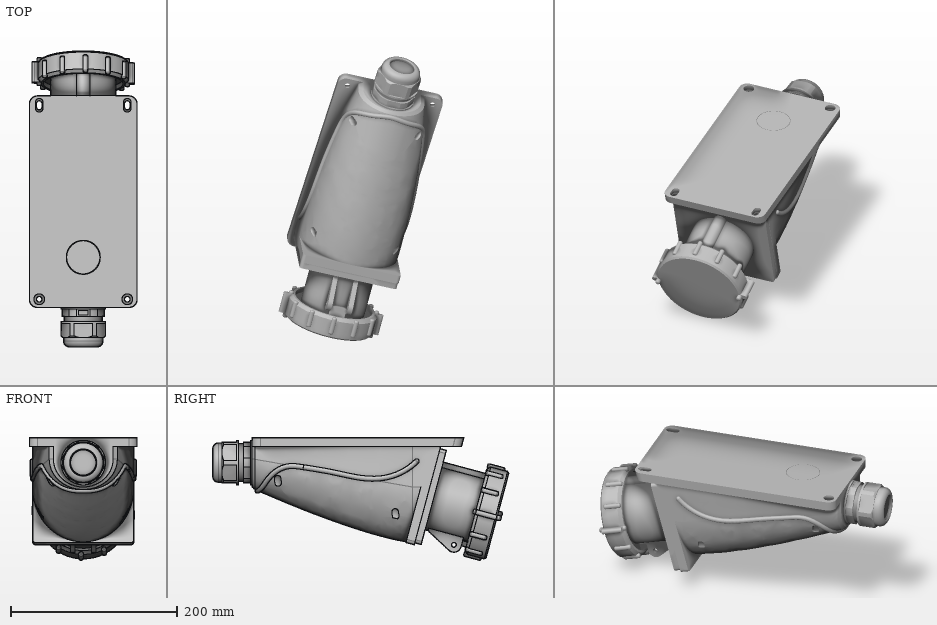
import cadquery as cq
import math


PLATE_WIDTH = 130.0
PLATE_LENGTH = 255.0
PLATE_THICKNESS = 11.0
PLATE_CORNER_RADIUS = 10.0
MOUNT_HOLE_X = 53.0
MOUNT_HOLE_Y = 10.0
MOUNT_SLOT_Y = 243.5
MOUNT_HOLE_DIAMETER = 6.5
ROUND_COUNTERBORE_DIAMETER = 13.0
SLOT_COUNTERBORE_WIDTH = 9.0
SLOT_COUNTERBORE_LENGTH = 16.5
SLOT_LENGTH = 10.5
COUNTERBORE_DEPTH = 6.0
KNOCKOUT_Y = 60.5
KNOCKOUT_OUTER_DIAMETER = 41.0
KNOCKOUT_INNER_DIAMETER = 40.0
KNOCKOUT_DEPTH = 1.0

SHELL_HALF_WIDTH = 61.0
SHELL_FRONT_HALF_WIDTH = 41.0
SHELL_FRONT_BOTTOM_Z = -62.5
SHELL_BACK_BOTTOM_Z = -126.7
SHELL_FRONT_Y = 3.2
SHELL_STRAIGHT_Y = 193.0
SHELL_SECTIONS = 6
SHELL_PLAN_POWER = 2.3
SHELL_BELLY_POWER = 1.3
SEAM_FRONT_Z = -25.5
SEAM_ANGLE = 10.0
FRONT_FACE_HALF_WIDTH = 36.0
FRONT_FACE_BOTTOM_Z = -59.5

BEAD_DIAMETER = 6.0
BEAD_SIDE_POINTS = [(198.0, -28.5), (183.0, -40.0), (167.0, -46.7), (147.0, -49.6), (100.0, -42.3),
                    (62.0, -35.7), (42.0, -34.8), (29.0, -40.5), (19.0, -50.0), (11.0, -61.0)]
BEAD_FRONT_Y = 6.5

POCKET_WIDTH = 8.0
POCKET_HEIGHT = 13.0
POCKET_TILT = 8.0
POCKETS = [(172.5, -92.0, 48.0), (31.0, -52.0, 35.0)]

INLET_TILT = 15.0
INLET_CENTER_Y = 210.7
INLET_CENTER_Z = -71.2
FLANGE_CORNER = 4.0
HOUSING_FLANGE_THICKNESS = 10.4
HOUSING_FLANGE_BOTTOM = 60.0
HOUSING_FLANGE_TOP = 20.0
INLET_FLANGE_THICKNESS = 8.0
INLET_FLANGE_WIDTH = 121.0
INLET_FLANGE_BOTTOM = 57.6
INLET_FLANGE_TOP = 60.0
NECK_DIAMETER = 78.6
NECK_KEY_DIAMETER = 16.2
NECK_KEY_RISE = 6.1

RING_START = 60.9
RING_LENGTH = 26.78
RING_RADIUS = 54.6
RING_FRONT_CHAMFER = 2.0
RING_BACK_CHAMFER = 3.8
RING_BORE_RADIUS = 48.0
RING_BORE_DEPTH = 6.0
RIB_COUNT = 12
RIB_DIAMETER = 6.0
RIB_CENTER_RADIUS = 54.8
RIB_ROTATION = 2.7
RIB_START = 60.5
RIB_LENGTH = 21.6
RIB_END_FILLET = 2.0
GRIP_CENTER_RADIUS = 59.0
GRIP_START = 61.5
GRIP_LENGTH = 25.5
GRIP_ROD_RADIUS = 53.0
GRIP_ROD_START = 58.0
GRIP_ROD_LENGTH = 34.8

LUG_OUTER_X = 15.5
LUG_INNER_X = 9.8
LUG_PIN_DISTANCE = 46.1
LUG_PIN_DROP = 47.6
LUG_RADIUS = 9.0
LUG_HOLE_DIAMETER = 5.46
LUG_ROOT_NEAR = 11.5
LUG_TANGENT_ANGLE = 60.0
LINK_START = 50.0
LINK_TOP_DROP = 39.9
LINK_HEIGHT = 6.6

GLAND_Z = -30.1
GLAND_COLLAR_DIAMETER = 53.7
GLAND_COLLAR_END = 2.0
BODY_HEX_DIAMETER = 51.6
BODY_HEX_END = 10.6
HEX_FLATS = 49.0
GLAND_NECK_DIAMETER = 46.0
GLAND_NECK_END = 16.5
NUT_FLANGE_END = 18.9
NUT_END = 36.2
NUT_CHAMFER = 2.0
DOME_DIAMETER = 47.6
DOME_STRAIGHT_END = 40.3
GLAND_LENGTH = 47.5
DOME_END_DIAMETER = 33.0
GLAND_BORE_DIAMETER = 30.5
GLAND_BORE_DEPTH = 4.0
GLAND_BORE_CHAMFER = 1.0
LABEL_WIDTH = 11.8
LABEL_LENGTH = 5.5
LABEL_DEPTH = 0.5
LABEL_START = 3.6

SIN_TILT = math.sin(math.radians(INLET_TILT))
COS_TILT = math.cos(math.radians(INLET_TILT))


def inlet_plane(distance):
    """Plane across the inlet axis, facing outward, with local y pointing up the tilted flange."""
    origin = (0, INLET_CENTER_Y + distance * COS_TILT, INLET_CENTER_Z - distance * SIN_TILT)
    return cq.Workplane(cq.Plane(origin, (-1, 0, 0), (0, COS_TILT, -SIN_TILT)))


def mounting_plate():
    back_shift = PLATE_THICKNESS * math.tan(math.radians(INLET_TILT))
    side = [(0, 0), (PLATE_LENGTH, 0), (PLATE_LENGTH - back_shift, -PLATE_THICKNESS), (0, -PLATE_THICKNESS)]
    plate = cq.Workplane("YZ").polyline(side).close().extrude(PLATE_WIDTH / 2, both=True)
    plate = plate.faces("<Y").edges("|Z").fillet(PLATE_CORNER_RADIUS)
    return plate.faces(">Y").edges("<X or >X").fillet(PLATE_CORNER_RADIUS)


def mounting_holes():
    round_spots = [(-MOUNT_HOLE_X, MOUNT_HOLE_Y), (MOUNT_HOLE_X, MOUNT_HOLE_Y)]
    slot_spots = [(-MOUNT_HOLE_X, MOUNT_SLOT_Y), (MOUNT_HOLE_X, MOUNT_SLOT_Y)]
    top = cq.Workplane("XY")
    holes = top.pushPoints(round_spots).circle(MOUNT_HOLE_DIAMETER / 2).extrude(-PLATE_THICKNESS)
    holes = holes.union(
        top.pushPoints(round_spots).circle(ROUND_COUNTERBORE_DIAMETER / 2).extrude(-COUNTERBORE_DEPTH))
    holes = holes.union(
        top.pushPoints(slot_spots).slot2D(SLOT_LENGTH, MOUNT_HOLE_DIAMETER, 90).extrude(-PLATE_THICKNESS))
    return holes.union(
        top.pushPoints(slot_spots).slot2D(SLOT_COUNTERBORE_LENGTH, SLOT_COUNTERBORE_WIDTH, 90)
        .extrude(-COUNTERBORE_DEPTH))


def knockout_groove():
    return (cq.Workplane("XY").center(0, KNOCKOUT_Y).circle(KNOCKOUT_OUTER_DIAMETER / 2)
            .circle(KNOCKOUT_INNER_DIAMETER / 2).extrude(-KNOCKOUT_DEPTH))


def distance_share(y):
    """1 at the shell's front, 0 where its sides become straight."""
    return max(0.0, (SHELL_STRAIGHT_Y - y) / (SHELL_STRAIGHT_Y - SHELL_FRONT_Y))


def shell_half_width(y):
    narrowing = SHELL_HALF_WIDTH - SHELL_FRONT_HALF_WIDTH
    return SHELL_HALF_WIDTH - narrowing * distance_share(y) ** SHELL_PLAN_POWER


def shell_bottom_z(y):
    rise = SHELL_FRONT_BOTTOM_Z - SHELL_BACK_BOTTOM_Z
    return SHELL_BACK_BOTTOM_Z + rise * distance_share(y) ** SHELL_BELLY_POWER


def seam_z(y):
    return SEAM_FRONT_Z - y * math.tan(math.radians(SEAM_ANGLE))


def shell_surface_x(y, z):
    """Half width of the shell at a point of its side: flat above the seam, elliptic below it."""
    drop = max(0.0, (seam_z(y) - z) / (seam_z(y) - shell_bottom_z(y)))
    return shell_half_width(y) * math.sqrt(max(0.0, 1 - drop ** 2))


def shell_wire(y, half_width, seam, bottom):
    """Straight sides from the plate down to the seam, closed below by a half ellipse."""
    top_left = cq.Vector(-half_width, y, -PLATE_THICKNESS)
    top_right = cq.Vector(half_width, y, -PLATE_THICKNESS)
    seam_left = cq.Vector(-half_width, y, seam)
    seam_right = cq.Vector(half_width, y, seam)
    depth = seam - bottom
    center = cq.Vector(0, y, seam)
    forward = cq.Vector(0, -1, 0)
    if depth > half_width:
        belly = cq.Edge.makeEllipse(depth, half_width, center, forward, cq.Vector(0, 0, -1), 270, 90)
    else:
        belly = cq.Edge.makeEllipse(half_width, depth, center, forward, cq.Vector(1, 0, 0), 180, 360)
    sides = [cq.Edge.makeLine(seam_left, top_left), cq.Edge.makeLine(top_left, top_right),
             cq.Edge.makeLine(top_right, seam_right)]
    return cq.Wire.assembleEdges([belly] + sides[::-1])


def shell_section(y):
    return shell_wire(y, shell_half_width(y), seam_z(y), shell_bottom_z(y))


def shell():
    step = (SHELL_STRAIGHT_Y - SHELL_FRONT_Y) / (SHELL_SECTIONS - 1)
    wires = [shell_section(SHELL_FRONT_Y + step * i) for i in range(SHELL_SECTIONS)]
    body = cq.Workplane(cq.Solid.makeLoft(wires))
    nose_face = shell_wire(0, FRONT_FACE_HALF_WIDTH, SEAM_FRONT_Z, FRONT_FACE_BOTTOM_Z)
    nose = cq.Workplane(cq.Solid.makeLoft([nose_face, wires[0]], True))
    back = cq.Workplane(cq.Solid.extrudeLinear(wires[-1], [], cq.Vector(0, SHELL_HALF_WIDTH, 0)))
    beyond_flange = inlet_plane(0).rect(2 * PLATE_LENGTH, 2 * PLATE_LENGTH).extrude(PLATE_LENGTH)
    return body.union(nose).union(back.cut(beyond_flange))


def bead():
    """Round bead running along both sides of the shell and under its front end."""
    side = [(shell_surface_x(y, z), y, z) for y, z in BEAD_SIDE_POINTS]
    lowest = (0, BEAD_FRONT_Y, shell_bottom_z(BEAD_FRONT_Y))
    points = side + [lowest] + [(-x, y, z) for x, y, z in reversed(side)]
    path = cq.Workplane("XY").spline(points)
    start = cq.Vector(*points[0])
    direction = path.val().tangentAt(0)
    tube = cq.Workplane(cq.Plane(start, normal=direction)).circle(BEAD_DIAMETER / 2).sweep(path)
    for end in (points[0], points[-1]):
        tube = tube.union(cq.Workplane("XY", origin=end).sphere(BEAD_DIAMETER / 2))
    return tube


def side_pockets():
    pockets = None
    for y, z, floor_x in POCKETS:
        for side in (-1, 1):
            plane = cq.Workplane("YZ", origin=(side * floor_x, y, z))
            depth = side * (SHELL_HALF_WIDTH - floor_x)
            pocket = plane.slot2D(POCKET_HEIGHT, POCKET_WIDTH, 90 + POCKET_TILT).extrude(depth)
            pockets = pocket if pockets is None else pockets.union(pocket)
    return pockets


def flange(start, thickness, width, bottom, top):
    height = bottom + top
    return inlet_plane(start).center(0, (top - bottom) / 2).rect(width, height).extrude(thickness)


def inlet_flanges():
    axis = cq.Vector(0, COS_TILT, -SIN_TILT)
    housing_side = flange(-HOUSING_FLANGE_THICKNESS, HOUSING_FLANGE_THICKNESS, 2 * SHELL_HALF_WIDTH,
                          HOUSING_FLANGE_BOTTOM, HOUSING_FLANGE_TOP)
    housing_side = housing_side.edges(cq.selectors.ParallelDirSelector(axis)).edges("<Z").fillet(FLANGE_CORNER)
    inlet_side = flange(0, INLET_FLANGE_THICKNESS, INLET_FLANGE_WIDTH, INLET_FLANGE_BOTTOM, INLET_FLANGE_TOP)
    inlet_side = inlet_side.edges(cq.selectors.ParallelDirSelector(axis)).fillet(FLANGE_CORNER)
    return housing_side.union(inlet_side)


def neck():
    length = RING_START + RING_LENGTH - INLET_FLANGE_THICKNESS - RING_FRONT_CHAMFER
    base = inlet_plane(INLET_FLANGE_THICKNESS)
    key_center = NECK_DIAMETER / 2 + NECK_KEY_RISE - NECK_KEY_DIAMETER / 2
    key = base.center(0, key_center).circle(NECK_KEY_DIAMETER / 2).extrude(length)
    return base.circle(NECK_DIAMETER / 2).extrude(length).union(key)


def rib(angle, radius, start, length):
    """Round-ended rib parallel to the inlet axis."""
    x = radius * math.cos(math.radians(angle))
    y = radius * math.sin(math.radians(angle))
    bar = inlet_plane(start).center(x, y).circle(RIB_DIAMETER / 2).extrude(length)
    return bar.edges().fillet(RIB_END_FILLET)


def grip(angle):
    """Tall grip: a round-topped fin with a longer rod at its root."""
    fin_height = GRIP_CENTER_RADIUS - GRIP_ROD_RADIUS
    middle = (GRIP_CENTER_RADIUS + GRIP_ROD_RADIUS) / 2
    x = middle * math.cos(math.radians(angle))
    y = middle * math.sin(math.radians(angle))
    fin = (inlet_plane(GRIP_START).center(x, y).slot2D(fin_height + RIB_DIAMETER, RIB_DIAMETER, angle)
           .extrude(GRIP_LENGTH))
    return fin.union(rib(angle, GRIP_ROD_RADIUS, GRIP_ROD_START, GRIP_ROD_LENGTH))


def locking_ring():
    ring = inlet_plane(RING_START).circle(RING_RADIUS).extrude(RING_LENGTH)
    ring = ring.faces(">Y").chamfer(RING_FRONT_CHAMFER).faces("<Y").chamfer(RING_BACK_CHAMFER)
    ring = ring.cut(inlet_plane(RING_START).circle(RING_BORE_RADIUS).extrude(RING_BORE_DEPTH))
    for i in range(RIB_COUNT):
        angle = 90 + RIB_ROTATION + i * 360 / RIB_COUNT
        if i in (RIB_COUNT // 4, 3 * RIB_COUNT // 4):
            ring = ring.union(grip(angle))
        else:
            ring = ring.union(rib(angle, RIB_CENTER_RADIUS, RIB_START, RIB_LENGTH))
    return ring


def hinge_lugs():
    """Two parallel drilled lugs hanging from the neck, with a link block from them to the ring."""
    origin = (0, INLET_CENTER_Y, INLET_CENTER_Z)
    plane = cq.Plane(origin, (0, COS_TILT, -SIN_TILT), (1, 0, 0))
    root = -NECK_DIAMETER / 2 + NECK_KEY_RISE
    pin = (LUG_PIN_DISTANCE, -LUG_PIN_DROP)
    turn = math.radians(LUG_TANGENT_ANGLE)
    near = (pin[0] - LUG_RADIUS * math.cos(turn), pin[1] - LUG_RADIUS * math.sin(turn))
    far = (pin[0] + LUG_RADIUS, pin[1])
    lowest = (pin[0], pin[1] - LUG_RADIUS)
    profile = (cq.Workplane(plane).moveTo(LUG_ROOT_NEAR, root).lineTo(LUG_ROOT_NEAR, -NECK_DIAMETER / 2)
               .lineTo(*near).threePointArc(lowest, far).lineTo(far[0], root).close())
    lugs = profile.extrude(LUG_OUTER_X, both=True)
    gap = cq.Workplane(plane).rect(PLATE_LENGTH, PLATE_LENGTH).extrude(LUG_INNER_X, both=True)
    hole = cq.Workplane(plane).center(*pin).circle(LUG_HOLE_DIAMETER / 2).extrude(LUG_OUTER_X, both=True)
    link_length = RING_START + RING_BORE_DEPTH - LINK_START
    link = (cq.Workplane(plane).center(LINK_START, -LINK_TOP_DROP)
            .rect(link_length, -LINK_HEIGHT, centered=False).extrude(LUG_INNER_X, both=True))
    return lugs.cut(gap).cut(hole).union(link)


def make_housing():
    body = mounting_plate().union(shell()).union(bead())
    body = body.union(inlet_flanges()).union(neck()).union(hinge_lugs()).union(locking_ring())
    return body.cut(mounting_holes()).cut(knockout_groove()).cut(side_pockets())


def gland_plane(distance):
    return cq.Workplane("XZ", origin=(0, -distance, GLAND_Z))


def gland_disc(diameter, start, end):
    return gland_plane(start).circle(diameter / 2).extrude(end - start)


def gland_hex(diameter, start, end):
    """Hexagon with its corners turned down to a diameter; two flats face up and down."""
    corners = HEX_FLATS / math.cos(math.pi / 6)
    hexagon = gland_plane(start).polygon(6, corners).extrude(end - start)
    return hexagon.intersect(gland_disc(diameter, start, end))


def gland_dome():
    outer = DOME_DIAMETER / 2
    end = DOME_END_DIAMETER / 2
    turn = math.sqrt(0.5)
    middle = (end + (outer - end) * turn, -DOME_STRAIGHT_END - (GLAND_LENGTH - DOME_STRAIGHT_END) * turn)
    profile = (cq.Workplane("XY", origin=(0, 0, GLAND_Z)).moveTo(0, -NUT_END).lineTo(outer, -NUT_END)
               .lineTo(outer, -DOME_STRAIGHT_END).threePointArc(middle, (end, -GLAND_LENGTH))
               .lineTo(0, -GLAND_LENGTH).close())
    return profile.revolve(360, (0, 0, 0), (0, 1, 0))


def make_gland():
    nut = gland_disc(GLAND_COLLAR_DIAMETER, NUT_FLANGE_END, NUT_END).faces("<Y").edges().chamfer(NUT_CHAMFER)
    nut = nut.intersect(gland_hex(GLAND_COLLAR_DIAMETER, NUT_FLANGE_END, NUT_END))
    body = gland_disc(GLAND_COLLAR_DIAMETER, 0, GLAND_COLLAR_END)
    body = body.union(gland_hex(BODY_HEX_DIAMETER, GLAND_COLLAR_END, BODY_HEX_END))
    body = body.union(gland_disc(GLAND_NECK_DIAMETER, BODY_HEX_END, GLAND_NECK_END))
    body = body.union(gland_disc(GLAND_COLLAR_DIAMETER, GLAND_NECK_END, NUT_FLANGE_END))
    body = body.union(nut).union(gland_dome())
    bore = gland_disc(GLAND_BORE_DIAMETER, GLAND_LENGTH - GLAND_BORE_DEPTH, GLAND_LENGTH)
    body = body.cut(bore)
    body = body.faces("<Y").edges("%CIRCLE").edges(
        cq.selectors.RadiusNthSelector(0)).chamfer(GLAND_BORE_CHAMFER)
    label = (cq.Workplane("XY", origin=(0, -LABEL_START - LABEL_LENGTH / 2, GLAND_Z + HEX_FLATS / 2))
             .rect(LABEL_WIDTH, LABEL_LENGTH).extrude(-LABEL_DEPTH))
    return body.cut(label)


housing = make_housing()
gland = make_gland()
result = cq.Compound.makeCompound([housing.val(), gland.val()])